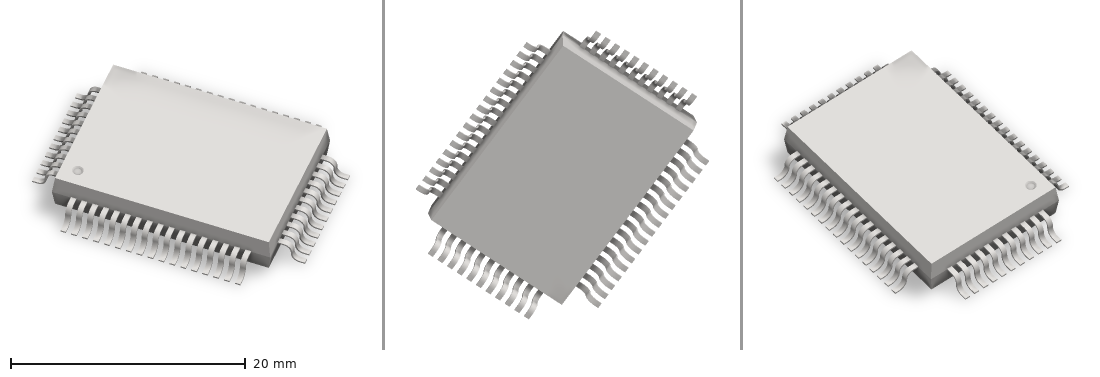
import cadquery as cq
import math

body_length = 20.0
body_width = 14.0
body_height = 3.4
parting_height = body_height / 2
draft_angle = 7.0
body_inset = parting_height * math.tan(math.radians(draft_angle))

mark_setback = 1.5
mark_edge_distance = body_inset + mark_setback
mark_top_radius = 0.5
mark_floor_radius = 0.32
mark_depth = 0.15

lead_pitch = 1.0
lead_width = 0.5
lead_thickness = 0.15
lead_reach = 2.5
lead_embed = 0.5
shoulder_outer_radius = 0.8
end_lead_count = 11
end_ankle_inner_radius = 0.65
side_lead_count = 17
side_ankle_inner_radius = 0.8
shank_face = 1.35


def make_body_half(height):
    """Frustum standing on the parting plane; a negative height tapers downwards."""
    return (
        cq.Workplane("XY", origin=(0, 0, parting_height))
        .rect(body_length, body_width)
        .workplane(offset=height)
        .rect(body_length - 2 * body_inset, body_width - 2 * body_inset)
        .loft(ruled=True)
    )


def make_pin_mark():
    """Cone frustum that cuts the pin-one dimple."""
    mark_x = mark_edge_distance - body_length / 2
    mark_y = mark_edge_distance - body_width / 2
    return (
        cq.Workplane("XY", origin=(mark_x, mark_y, body_height))
        .circle(mark_top_radius)
        .workplane(offset=-mark_depth)
        .circle(mark_floor_radius)
        .loft(ruled=True)
    )


def make_lead(body_edge, ankle_inner_radius):
    """One lead pointing along +X from a body edge at x = body_edge."""
    shoulder_inner_radius = shoulder_outer_radius - lead_thickness
    ankle_outer_radius = ankle_inner_radius + lead_thickness
    top = parting_height + lead_thickness / 2
    root = body_edge - lead_embed
    outer_face = body_edge + shank_face
    inner_face = outer_face - lead_thickness
    toe = body_edge + lead_reach
    shoulder_x = outer_face - shoulder_outer_radius
    shoulder_z = top - shoulder_outer_radius
    ankle_x = outer_face + ankle_inner_radius
    ankle_z = lead_thickness + ankle_inner_radius

    return (
        cq.Workplane("XZ", origin=(0, lead_width / 2, 0))
        .moveTo(root, top)
        .lineTo(shoulder_x, top)
        .radiusArc((outer_face, shoulder_z), shoulder_outer_radius)
        .lineTo(outer_face, ankle_z)
        .radiusArc((ankle_x, lead_thickness), -ankle_inner_radius)
        .lineTo(toe, lead_thickness)
        .lineTo(toe, 0)
        .lineTo(ankle_x, 0)
        .radiusArc((inner_face, ankle_z), ankle_outer_radius)
        .lineTo(inner_face, shoulder_z)
        .radiusArc((shoulder_x, top - lead_thickness), -shoulder_inner_radius)
        .lineTo(root, top - lead_thickness)
        .close()
        .extrude(lead_width)
    )


def make_lead_row(count, body_edge, ankle_inner_radius, direction):
    """Row of leads centred on one body edge, turned to face the given direction in degrees from +X."""
    lead = make_lead(body_edge, ankle_inner_radius)
    first_offset = -(count - 1) * lead_pitch / 2
    row = []
    for index in range(count):
        placed_lead = lead.translate((0, first_offset + index * lead_pitch, 0))
        row.append(placed_lead.rotate((0, 0, 0), (0, 0, 1), direction).val())
    return row


upper_half = make_body_half(body_height - parting_height)
lower_half = make_body_half(-parting_height)
body = upper_half.union(lower_half).cut(make_pin_mark())

leads = []
for direction in (0, 180):
    leads += make_lead_row(end_lead_count, body_length / 2, end_ankle_inner_radius, direction)
for direction in (90, 270):
    leads += make_lead_row(side_lead_count, body_width / 2, side_ankle_inner_radius, direction)

result = cq.Workplane("XY").newObject([body.val().fuse(*leads)])